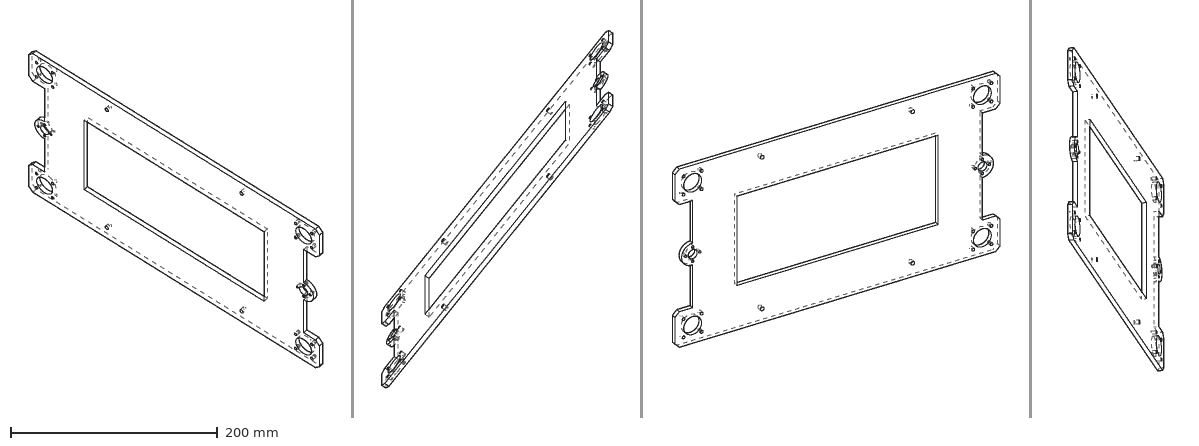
import cadquery as cq

length = 367.0
height = 200.0
thickness = 5.0

tab_reach = 20.0
tab_height = 40.0
tab_chamfer = 5.0

window_end_margin = 70.0
window_side_margin = 50.0

bearing_hole_diameter = 20.0
bearing_hole_inset = 20.0
bearing_screw_spacing = 20.5
bearing_screw_diameter = 3.0

lug_diameter = 25.0
nut_hole_diameter = 10.0
nut_screw_circle_diameter = 16.0
nut_screw_diameter = 2.5

mount_hole_spacing = 170.0
mount_hole_diameter = 4.0

body_length = length - 2 * tab_reach
window_length = length - 2 * window_end_margin
window_height = height - 2 * window_side_margin
bearing_x = length / 2 - bearing_hole_inset
bearing_z = height / 2 - bearing_hole_inset
lug_x = body_length / 2


def square_points(center_x, center_z, spacing):
    """Corners of a square of the given side around a centre."""
    half = spacing / 2
    return [(center_x + i * half, center_z + j * half) for i in (-1, 1) for j in (-1, 1)]


def cross_points(center_x, center_z, circle_diameter):
    """Four points on a circle, in line with the X and Z axes."""
    radius = circle_diameter / 2
    return [
        (center_x - radius, center_z),
        (center_x + radius, center_z),
        (center_x, center_z - radius),
        (center_x, center_z + radius),
    ]


def slab(sketch):
    """Extrude a sketch through the plate thickness, centred on Y = 0."""
    return sketch.extrude(thickness / 2, both=True)


def round_pins(points, diameter):
    """Cylinders through the plate thickness at the given points."""
    return slab(cq.Workplane("XZ").pushPoints(points).circle(diameter / 2))


def make_tab_bar(side):
    """Full-length bar along the top (+1) or bottom (-1), whose ends are the chamfered tabs."""
    bar_z = side * (height - tab_height) / 2
    bar = slab(cq.Workplane("XZ").center(0, bar_z).rect(length, tab_height))
    return bar.edges("|Y").chamfer(tab_chamfer)


def make_blank():
    """Plate outline with its tabs and lugs, before the openings are cut."""
    blank = slab(cq.Workplane("XZ").rect(body_length, height))
    for side in (-1, 1):
        blank = blank.union(make_tab_bar(side))
    lugs = round_pins([(-lug_x, 0), (lug_x, 0)], lug_diameter)
    return blank.union(lugs)


def cut_window(plate):
    return plate.cut(slab(cq.Workplane("XZ").rect(window_length, window_height)))


def cut_bearing_holes(plate):
    centers = [(i * bearing_x, j * bearing_z) for i in (-1, 1) for j in (-1, 1)]
    for center in centers:
        plate = plate.cut(round_pins([center], bearing_hole_diameter))
        screws = square_points(*center, bearing_screw_spacing)
        plate = plate.cut(round_pins(screws, bearing_screw_diameter))
    return plate


def cut_nut_holes(plate):
    for x in (-lug_x, lug_x):
        plate = plate.cut(round_pins([(x, 0)], nut_hole_diameter))
        screws = cross_points(x, 0, nut_screw_circle_diameter)
        plate = plate.cut(round_pins(screws, nut_screw_diameter))
    return plate


def cut_mount_holes(plate):
    return plate.cut(round_pins(square_points(0, 0, mount_hole_spacing), mount_hole_diameter))


result = make_blank()
result = cut_window(result)
result = cut_bearing_holes(result)
result = cut_nut_holes(result)
result = cut_mount_holes(result)